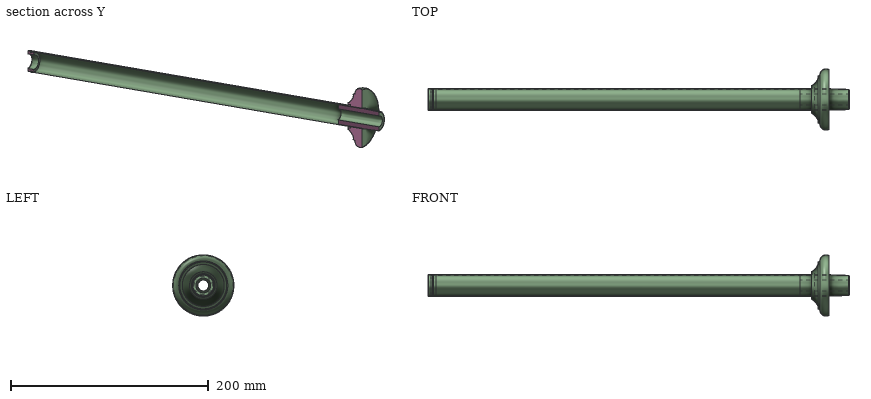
import cadquery as cq
import math

overall_length = 426.0
tube_radius = 11.0
tube_bore_radius = 10.0
tube_chamfer_length = 0.9
tube_chamfer_depth = 0.3

collar_width = 3.2
washer_width = 1.3
plug_length = 8.0
plug_bore_radius = 7.5
collar_chamfer = 0.5
tube_start = collar_width + washer_width

escutcheon_front = 387.8
escutcheon_back = 405.5
nose_radius = 13.9
flare_middle = (390.9, 16.3)
step_face_x = 394.3
step_inner_radius = 21.2
step_outer_radius = 23.7
rim_outer_radius = 31.0
rim_round = 6.2
rim_front = 396.1
rim_center_x = rim_front + rim_round
rim_center_radius = rim_outer_radius - rim_round
tube_end = escutcheon_back

seal_radius = 12.0
seal_width = 3.0

nipple_start = 376.0
nipple_bore_radius = 5.5
thread_start_radius = 10.9
thread_taper = 1 / 32
thread_chamfer = 1.0
thread_length = overall_length - tube_end
thread_end_radius = thread_start_radius - thread_taper * thread_length


def turned(profile):
    """Revolve a closed (x, radius) outline about the X axis."""
    return profile.close().revolve(360, (0, 0, 0), (1, 0, 0))


def ring(start_x, end_x, inner_radius, outer_radius):
    """Plain ring lying along X."""
    section = cq.Workplane("YZ").workplane(offset=start_x).circle(outer_radius).circle(inner_radius)
    return section.extrude(end_x - start_x)


def make_tube():
    outline = (
        cq.Workplane("XY")
        .moveTo(tube_start, tube_bore_radius)
        .lineTo(tube_start, tube_radius - tube_chamfer_depth)
        .lineTo(tube_start + tube_chamfer_length, tube_radius)
        .lineTo(tube_end, tube_radius)
        .lineTo(tube_end, tube_bore_radius)
    )
    return turned(outline)


def make_outlet_plug():
    outline = (
        cq.Workplane("XY")
        .moveTo(0, plug_bore_radius)
        .lineTo(0, tube_radius - collar_chamfer)
        .lineTo(collar_chamfer, tube_radius)
        .lineTo(collar_width, tube_radius)
        .lineTo(collar_width, tube_bore_radius)
        .lineTo(plug_length, tube_bore_radius)
        .lineTo(plug_length, plug_bore_radius)
    )
    return turned(outline)


def make_escutcheon():
    back_edge_radius = rim_center_radius + math.sqrt(rim_round**2 - (escutcheon_back - rim_center_x) ** 2)
    seal_back = escutcheon_front + seal_width
    outline = (
        cq.Workplane("XY")
        .moveTo(escutcheon_front, seal_radius)
        .lineTo(escutcheon_front, nose_radius)
        .threePointArc(flare_middle, (step_face_x, step_inner_radius))
        .lineTo(step_face_x, step_outer_radius)
        .lineTo(rim_front, rim_center_radius)
        .threePointArc((rim_center_x, rim_outer_radius), (escutcheon_back, back_edge_radius))
        .lineTo(escutcheon_back, tube_radius)
        .lineTo(seal_back, tube_radius)
        .lineTo(seal_back, seal_radius)
    )
    return turned(outline)


def make_nipple():
    outline = (
        cq.Workplane("XY")
        .moveTo(nipple_start, nipple_bore_radius)
        .lineTo(nipple_start, tube_bore_radius)
        .lineTo(tube_end, tube_bore_radius)
        .lineTo(tube_end, thread_start_radius)
        .lineTo(overall_length - thread_chamfer, thread_end_radius)
        .lineTo(overall_length, thread_end_radius - thread_chamfer)
        .lineTo(overall_length, nipple_bore_radius)
    )
    return turned(outline)


tube = make_tube()
outlet_plug = make_outlet_plug()
outlet_washer = ring(collar_width, tube_start, tube_bore_radius, tube_radius)
escutcheon = make_escutcheon()
escutcheon_seal = ring(escutcheon_front, escutcheon_front + seal_width, tube_radius, seal_radius)
nipple = make_nipple()

bodies = [tube, outlet_plug, outlet_washer, escutcheon, escutcheon_seal, nipple]
result = cq.Compound.makeCompound([body.val() for body in bodies])